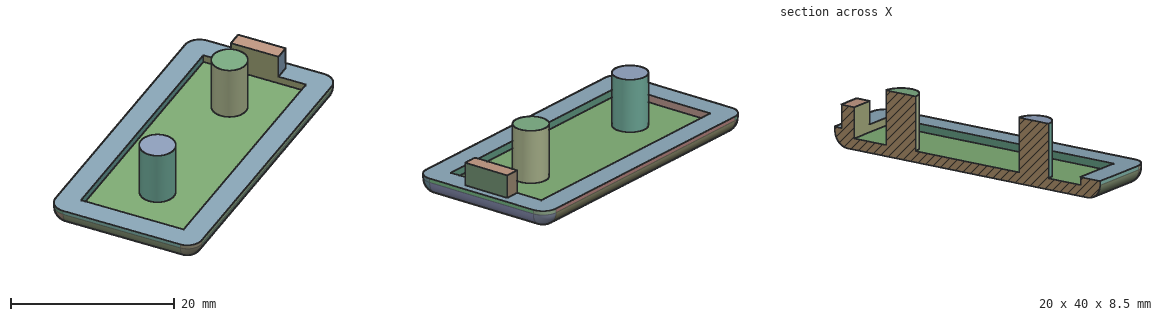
import cadquery as cq

plate_width = 20.0
plate_length = 40.0
plate_height = 2.5
corner_radius = 2.0
bottom_fillet = 2.0

rim_width = 3.0
recess_depth = 1.0
recess_width = plate_width - 2 * rim_width
recess_length = plate_length - 2 * rim_width
recess_floor = plate_height - recess_depth

post_diameter = 4.5
post_spacing = 20.0
post_rise = 6.0

tab_width = 6.5
tab_edge_gap = 1.0
tab_thickness = rim_width - tab_edge_gap
tab_rise = 3.0


def make_plate():
    """Rounded rectangular plate with a filleted lower edge."""
    plate = cq.Workplane("XY").box(plate_width, plate_length, plate_height, centered=(True, True, False))
    plate = plate.edges("|Z").fillet(corner_radius)
    return plate.faces("<Z").edges().fillet(bottom_fillet)


def make_recess():
    """Volume removed from the upper face, leaving the rim."""
    return (
        cq.Workplane("XY")
        .workplane(offset=recess_floor)
        .rect(recess_width, recess_length)
        .extrude(recess_depth)
    )


def make_posts():
    """Pair of posts along Y, from the recess floor to above the rim."""
    return (
        cq.Workplane("XY")
        .workplane(offset=recess_floor)
        .pushPoints([(0, -post_spacing / 2), (0, post_spacing / 2)])
        .circle(post_diameter / 2)
        .extrude(recess_depth + post_rise)
    )


def make_tab():
    """Rectangular tab standing on the +Y rim."""
    tab_center_y = plate_length / 2 - tab_edge_gap - tab_thickness / 2
    return (
        cq.Workplane("XY")
        .workplane(offset=plate_height)
        .center(0, tab_center_y)
        .rect(tab_width, tab_thickness)
        .extrude(tab_rise)
    )


result = make_plate().cut(make_recess()).union(make_posts()).union(make_tab())